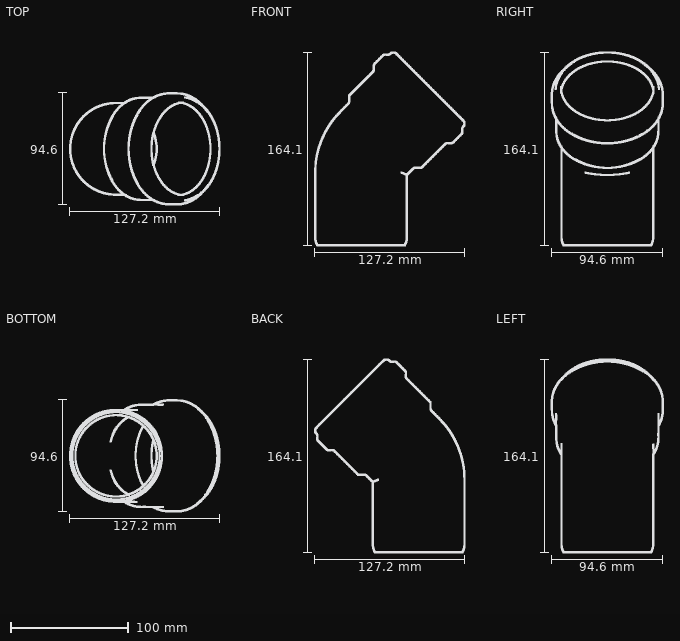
import math

import cadquery as cq


pipe_radius = 78.2 / 2
bore_radius = 69.2 / 2
bend_angle = 45.0
bend_radius = 34.5
crossing_height = 76.0
tangent_length = bend_radius * math.tan(math.radians(bend_angle / 2))
spigot_height = crossing_height - tangent_length

entry_height = 6.7
entry_radius = 37.2
entry_drop = pipe_radius - entry_radius
entry_arc_radius = (entry_height**2 + entry_drop**2) / (2 * entry_drop)

socket_radius = 87.0 / 2
bead_radius = 94.6 / 2
rim_radius = 87.8 / 2
shoulder_start = 24.7
shoulder_end = shoulder_start + socket_radius - pipe_radius
bead_foot = 57.4
bead_start = 63.7
bead_end = 73.5
rim_start = 79.2
socket_end = 82.7
shoulder_foot_round = 2.2
shoulder_top_round = 0.75
rim_round = socket_end - rim_start

socket_bore_radius = 79.0 / 2
mouth_radius = 78.8 / 2
groove_radius = 87.8 / 2
cone_start = 25.9
cone_end = 31.2
groove_start = 63.7
groove_end = 73.5
cone_round = 0.75
groove_round = 1.1
mouth_round = rim_radius - rim_round - mouth_radius


def s_curve(outline, start, end):
    """Add two equal, opposite arcs from `start` to `end` that continue the line before them."""
    middle = ((start[0] + end[0]) / 2, (start[1] + end[1]) / 2)
    return outline.tangentArcPoint(middle, relative=False).tangentArcPoint(end, relative=False)


def revolve_about_z(outline):
    return outline.close().revolve(360, (0, 0, 0), (0, 1, 0))


def round_edge(body, height, fillet_radius):
    """Fillet the circular edge around Z at this height."""
    edge = cq.selectors.NearestToPointSelector((0, 0, height))
    return body.edges("%CIRCLE").edges(edge).fillet(fillet_radius)


def onto_socket_axis(body):
    """Move a body built along Z from the origin onto the tilted socket axis."""
    tilted = body.rotate((0, 0, 0), (0, 1, 0), bend_angle)
    return tilted.translate((0, 0, crossing_height))


def bend(radius):
    """Sweep a circle, cut off at the pivot line, around that pivot line."""
    half_chord = math.sqrt(radius**2 - bend_radius**2)
    section = (
        cq.Workplane("XY", origin=(0, 0, spigot_height))
        .moveTo(bend_radius, -half_chord)
        .threePointArc((-radius, 0), (bend_radius, half_chord))
        .close()
    )
    return section.revolve(bend_angle, (bend_radius, 0, 0), (bend_radius, 1, 0))


def spigot_outside():
    return revolve_about_z(
        cq.Workplane("XZ")
        .lineTo(entry_radius, 0)
        .radiusArc((pipe_radius, entry_height), -entry_arc_radius)
        .lineTo(pipe_radius, spigot_height)
        .lineTo(0, spigot_height)
    )


def socket_outside():
    outline = (
        cq.Workplane("XZ")
        .moveTo(0, tangent_length)
        .lineTo(pipe_radius, tangent_length)
        .lineTo(pipe_radius, shoulder_start)
        .lineTo(socket_radius, shoulder_end)
        .lineTo(socket_radius, bead_foot)
    )
    outline = s_curve(outline, (socket_radius, bead_foot), (bead_radius, bead_start))
    outline = outline.lineTo(bead_radius, bead_end)
    outline = s_curve(outline, (bead_radius, bead_end), (rim_radius, rim_start))
    outline = outline.radiusArc((rim_radius - rim_round, socket_end), -rim_round).lineTo(0, socket_end)
    body = revolve_about_z(outline)
    body = round_edge(body, shoulder_start, shoulder_foot_round)
    body = round_edge(body, shoulder_end, shoulder_top_round)
    return onto_socket_axis(body)


def socket_inside():
    outline = (
        cq.Workplane("XZ")
        .moveTo(0, tangent_length)
        .lineTo(bore_radius, tangent_length)
        .lineTo(bore_radius, cone_start)
        .lineTo(socket_bore_radius, cone_end)
        .lineTo(socket_bore_radius, groove_start - groove_round)
        .radiusArc((socket_bore_radius + groove_round, groove_start), groove_round)
        .lineTo(groove_radius - groove_round, groove_start)
        .radiusArc((groove_radius, groove_start + groove_round), -groove_round)
        .lineTo(groove_radius, groove_end - groove_round)
        .radiusArc((groove_radius - groove_round, groove_end), -groove_round)
        .lineTo(mouth_radius + groove_round, groove_end)
        .radiusArc((mouth_radius, groove_end + groove_round), groove_round)
        .lineTo(mouth_radius, socket_end - mouth_round)
        .radiusArc((mouth_radius + mouth_round, socket_end), mouth_round)
        .lineTo(0, socket_end)
    )
    body = revolve_about_z(outline)
    body = round_edge(body, cone_start, cone_round)
    body = round_edge(body, cone_end, cone_round)
    return onto_socket_axis(body)


def spigot_bore():
    return cq.Workplane("XY").circle(bore_radius).extrude(spigot_height)


outside = spigot_outside().union(bend(pipe_radius)).union(socket_outside())
inside = spigot_bore().union(bend(bore_radius)).union(socket_inside())
result = outside.cut(inside)